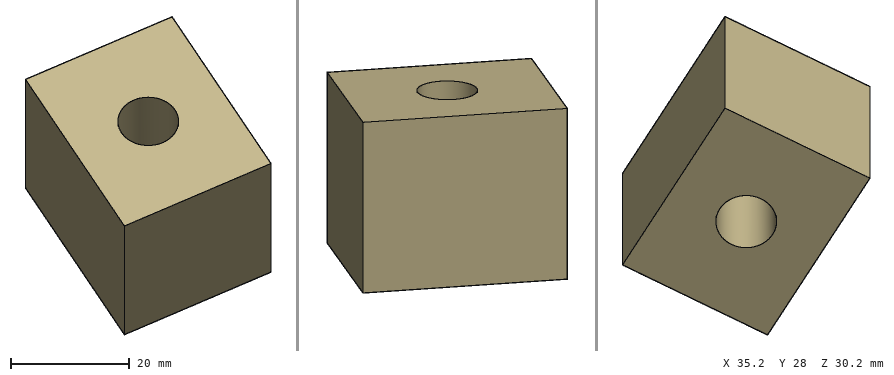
import cadquery as cq

length = 35.2
width = 28.0
height = 30.2

hole_diameter = 10.2

block = cq.Workplane("XY").box(length, width, height)
result = block.faces(">Z").workplane().hole(hole_diameter)